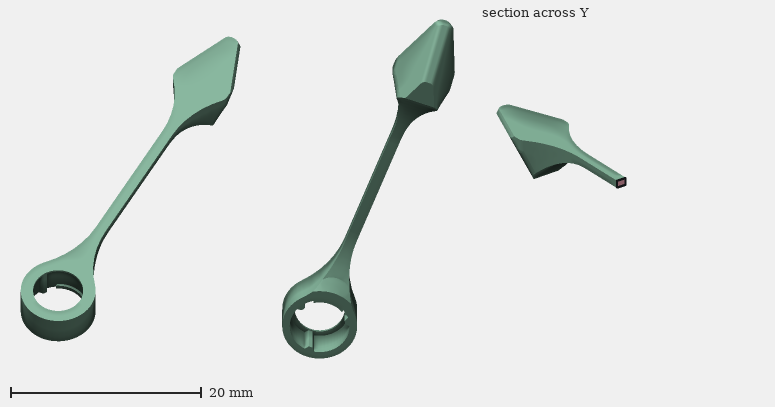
import cadquery as cq
import math

LENGTH = 41.4
RING_RADIUS = 3.95
BORE_DIAMETER = 5.25
RING_HEIGHT = 3.65
TOTAL_HEIGHT = 5.0
TIP_Y = LENGTH - RING_RADIUS

LIP_THICKNESS = 0.25
SOCKET_RADIUS = 3.15
RIB_COUNT = 3
RIB_FIRST_ANGLE = 30.0
RIB_CREST_RADIUS = 2.7
RIB_CREST_WIDTH = 0.4
RIB_ROOT_WIDTH = 1.33
RIB_ROOT_RADIUS = 3.3
TAB_WIDTH = 3.25
TAB_HEIGHT = 0.5
TAB_CREST_RADIUS = 2.9

SHANK_HALF_WIDTH = 0.6
BLEND_RADIUS = 10.02
CORNER_RADIUS = 1.0
HEAD_HALF_WIDTH = 3.2
HEAD_FLARE_START_Y = TIP_Y - 14.12

SHANK_THICKNESS = 0.85
UNDERSIDE_RADIUS = 9.4
RING_ARCH_Y = 10.35
HEAD_ARCH_Y = TIP_Y - 15.4
TIP_THICKNESS = 1.1
KEEL_FRONT_Y = TIP_Y - 5.0

FOOT_RADIUS = 4.25
FOOT_SLOPE = 0.82

RIDGE_DEPTH = 0.5
RIDGE_TIP_HALF_WIDTH = 0.9
RIDGE_REAR_Y = TIP_Y - 5.6
FACET_SLOPE = 0.49
STRIP_SLOPE = 0.55
FACET_FILLET = 1.0
TIP_FILLET = 0.62
PLAN_DEPTH = TOTAL_HEIGHT + 0.4
CUT_MARGIN = 6.2


def arc_point(center, radius, angle):
    return (center[0] + radius * math.cos(angle), center[1] + radius * math.sin(angle))


def arm_plan():
    """Plan of the shank with both flares, and a head squared off at the tip."""
    flare_x = SHANK_HALF_WIDTH + BLEND_RADIUS

    ring_flare_y = math.sqrt((BLEND_RADIUS + RING_RADIUS) ** 2 - flare_x**2)
    ring_center = (flare_x, ring_flare_y)
    ring_sweep = math.atan2(ring_flare_y, flare_x)
    ring_end = arc_point(ring_center, BLEND_RADIUS, math.pi + ring_sweep)
    ring_mid = arc_point(ring_center, BLEND_RADIUS, math.pi + ring_sweep / 2)

    corner_x = HEAD_HALF_WIDTH - CORNER_RADIUS
    head_sweep = math.acos((flare_x - corner_x) / (BLEND_RADIUS + CORNER_RADIUS))
    head_center = (flare_x, HEAD_FLARE_START_Y)
    corner_center = arc_point(head_center, BLEND_RADIUS + CORNER_RADIUS, math.pi - head_sweep)
    head_mid = arc_point(head_center, BLEND_RADIUS, math.pi - head_sweep / 2)
    head_end = arc_point(head_center, BLEND_RADIUS, math.pi - head_sweep)
    corner_mid = arc_point(corner_center, CORNER_RADIUS, -head_sweep / 2)

    half = (
        cq.Workplane("XY")
        .moveTo(0, 0)
        .lineTo(*ring_end)
        .threePointArc(ring_mid, (SHANK_HALF_WIDTH, ring_flare_y))
        .lineTo(SHANK_HALF_WIDTH, HEAD_FLARE_START_Y)
        .threePointArc(head_mid, head_end)
        .threePointArc(corner_mid, (HEAD_HALF_WIDTH, corner_center[1]))
        .lineTo(HEAD_HALF_WIDTH, TIP_Y)
        .lineTo(0, TIP_Y)
        .close()
        .extrude(-PLAN_DEPTH)
    )
    return half.union(half.mirror("YZ"))


def side_profile():
    """Side outline of the arm, with an arched underside at each end of the shank."""
    arch_z = -SHANK_THICKNESS - UNDERSIDE_RADIUS
    ring_center = (RING_ARCH_Y, arch_z)
    head_center = (HEAD_ARCH_Y, arch_z)
    ring_sweep = math.acos((-RING_HEIGHT - arch_z) / UNDERSIDE_RADIUS)
    head_sweep = math.acos((-TOTAL_HEIGHT - arch_z) / UNDERSIDE_RADIUS)
    up = math.pi / 2
    return (
        cq.Workplane("YZ")
        .moveTo(0, 0)
        .lineTo(0, -RING_HEIGHT)
        .lineTo(*arc_point(ring_center, UNDERSIDE_RADIUS, up + ring_sweep))
        .threePointArc(
            arc_point(ring_center, UNDERSIDE_RADIUS, up + ring_sweep / 2),
            (RING_ARCH_Y, -SHANK_THICKNESS),
        )
        .lineTo(HEAD_ARCH_Y, -SHANK_THICKNESS)
        .threePointArc(
            arc_point(head_center, UNDERSIDE_RADIUS, up - head_sweep / 2),
            arc_point(head_center, UNDERSIDE_RADIUS, up - head_sweep),
        )
        .lineTo(KEEL_FRONT_Y, -TOTAL_HEIGHT)
        .lineTo(TIP_Y, -TIP_THICKNESS)
        .lineTo(TIP_Y, 0)
        .close()
        .extrude(2 * RING_RADIUS, both=True)
    )


def foot():
    """Cone around the ring, widening upwards to the top face."""
    top_radius = FOOT_RADIUS + FOOT_SLOPE * RING_HEIGHT
    return (
        cq.Workplane("XZ")
        .polyline([(0, -RING_HEIGHT), (FOOT_RADIUS, -RING_HEIGHT), (top_radius, 0), (0, 0)])
        .close()
        .revolve(360, (0, 0, 0), (0, 1, 0))
    )


def bevel_cutters(section):
    """Pair of cutters; the section (outward, up) is swept along each ridge line."""
    run_x = HEAD_HALF_WIDTH - RIDGE_TIP_HALF_WIDTH
    run_y = RIDGE_REAR_Y - TIP_Y
    ridge_length = math.hypot(run_x, run_y)
    plane = cq.Plane(
        origin=(RIDGE_TIP_HALF_WIDTH, TIP_Y, -RIDGE_DEPTH),
        xDir=(-run_y, run_x, 0),
        normal=(run_x, run_y, 0),
    )
    cutter = (
        cq.Workplane(plane)
        .workplane(offset=-CUT_MARGIN)
        .polyline(section)
        .close()
        .extrude(ridge_length + 2 * CUT_MARGIN)
    )
    return cutter.union(cutter.mirror("YZ"))


def facet_cutters():
    drop = CUT_MARGIN
    rise = 2 * RIDGE_DEPTH
    return bevel_cutters([
        (-FACET_SLOPE * drop, -drop),
        (FACET_SLOPE * rise, rise),
        (CUT_MARGIN, rise),
        (CUT_MARGIN, -drop),
    ])


def strip_cutters():
    rise = 2 * RIDGE_DEPTH
    return bevel_cutters([
        (0, 0),
        (-STRIP_SLOPE * rise, rise),
        (CUT_MARGIN, rise),
        (CUT_MARGIN, 0),
    ])


def grip_rib(angle):
    """Tapered rib running the full height of the socket."""
    return (
        cq.Workplane("XY")
        .workplane(offset=-RING_HEIGHT)
        .polyline([
            (RIB_CREST_RADIUS, -RIB_CREST_WIDTH / 2),
            (RIB_ROOT_RADIUS, -RIB_ROOT_WIDTH / 2),
            (RIB_ROOT_RADIUS, RIB_ROOT_WIDTH / 2),
            (RIB_CREST_RADIUS, RIB_CREST_WIDTH / 2),
        ])
        .close()
        .extrude(RING_HEIGHT - LIP_THICKNESS)
        .rotate((0, 0, 0), (0, 0, 1), angle)
    )


def socket():
    """Space removed below the lip, leaving the ribs and the tab standing."""
    base = cq.Workplane("XY").workplane(offset=-RING_HEIGHT)
    space = base.circle(SOCKET_RADIUS).extrude(RING_HEIGHT - LIP_THICKNESS)
    for index in range(RIB_COUNT):
        space = space.cut(grip_rib(RIB_FIRST_ANGLE + index * 360 / RIB_COUNT))
    tab_ring = base.circle(RING_RADIUS).circle(TAB_CREST_RADIUS).extrude(TAB_HEIGHT)
    tab_span = base.center(0, RING_RADIUS / 2).rect(TAB_WIDTH, RING_RADIUS).extrude(TAB_HEIGHT)
    return space.cut(tab_ring.intersect(tab_span))


def edges_between(low_y, high_y, low_z, high_z):
    """Selector for head edges whose centres lie within a range of Y and Z."""
    reach = 2 * HEAD_HALF_WIDTH
    return cq.selectors.BoxSelector((-reach, low_y, low_z), (reach, high_y, high_z))


flare_middle_y = HEAD_FLARE_START_Y + BLEND_RADIUS / 2
facet_rear = edges_between(flare_middle_y, RIDGE_REAR_Y, -TOTAL_HEIGHT, -RIDGE_DEPTH)
arm = arm_plan().cut(facet_cutters())
arm = arm.edges("not(|Z or |X)").edges(facet_rear).fillet(FACET_FILLET)
arm = arm.intersect(side_profile().union(foot()))
arm = arm.cut(strip_cutters())

tip_edges = edges_between(KEEL_FRONT_Y, LENGTH, -TOTAL_HEIGHT, 0)
arm = arm.edges("not(|X or #Z)").edges(tip_edges).fillet(TIP_FILLET)

ring = cq.Workplane("XY").circle(RING_RADIUS).extrude(-RING_HEIGHT)
bore = cq.Workplane("XY").circle(BORE_DIAMETER / 2).extrude(-LIP_THICKNESS)
result = arm.union(ring).cut(bore).cut(socket())